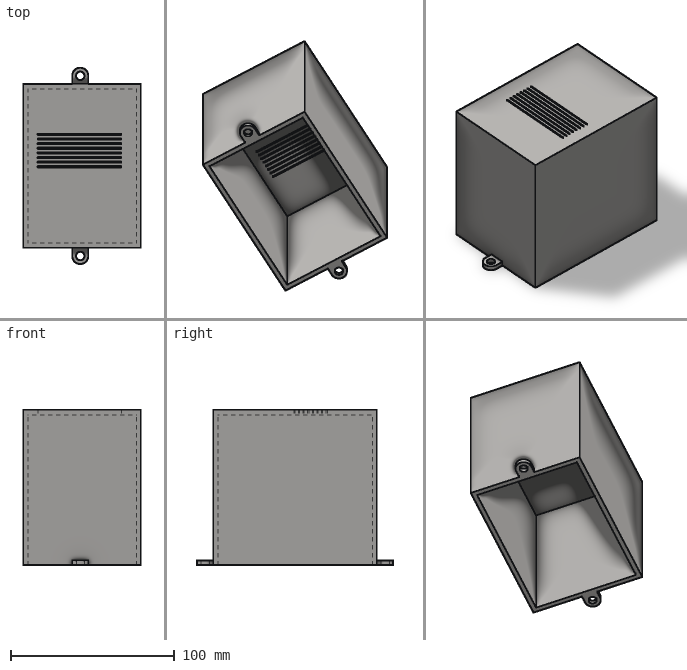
import cadquery as cq

width = 72.0
overall_length = 120.0
height = 95.0

wall = 3.0

lug_width = 10.0
lug_thickness = wall
lug_hole_diameter = 5.0
lug_offset_x = -1.1
lug_reach = lug_width
lug_radius = lug_width / 2
body_length = overall_length - 2 * lug_reach
lug_centre_y = body_length / 2 + lug_reach - lug_radius

slot_count = 8
slot_length = 51.0
slot_width = 0.7
slot_field_span = 19.8
slot_pitch = slot_field_span / (slot_count - 1)
slot_centre_x = -1.5
slot_centre_y = 9.4


def make_body():
    return cq.Workplane("XY").box(width, body_length, height, centered=(True, True, False))


def make_cavity():
    return cq.Workplane("XY").box(
        width - 2 * wall, body_length - 2 * wall, height - wall, centered=(True, True, False)
    )


def make_lug_bar():
    """Round-ended bar whose two ends form the lugs; the cavity removes its middle."""
    return (
        cq.Workplane("XY")
        .center(lug_offset_x, 0)
        .slot2D(overall_length, lug_width, 90)
        .extrude(lug_thickness)
    )


def make_lug_holes():
    return (
        cq.Workplane("XY")
        .pushPoints([(lug_offset_x, side * lug_centre_y) for side in (-1, 1)])
        .circle(lug_hole_diameter / 2)
        .extrude(lug_thickness)
    )


def make_vent_slots():
    return (
        cq.Workplane("XY", origin=(0, 0, height - wall))
        .center(slot_centre_x, slot_centre_y)
        .rarray(1.2, slot_pitch, 1, slot_count)
        .slot2D(slot_length, slot_width)
        .extrude(wall)
    )


outer_shape = make_body().union(make_lug_bar())
result = outer_shape.cut(make_cavity()).cut(make_lug_holes()).cut(make_vent_slots())